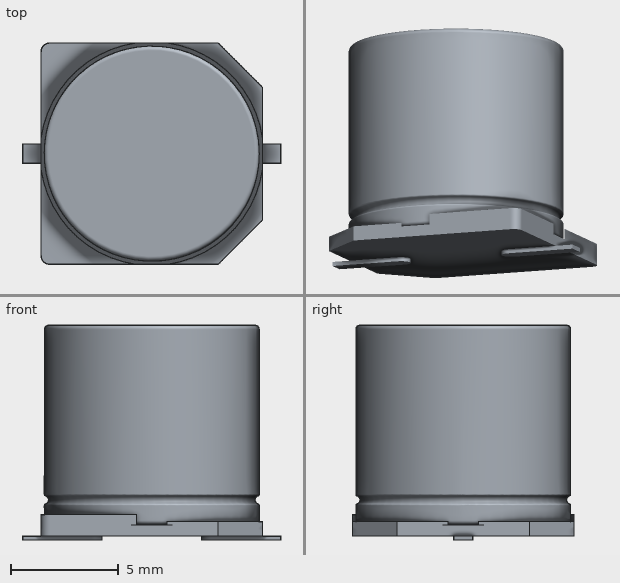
import cadquery as cq


lead_span = 12.0
base_width = 10.3
total_height = 10.0

lead_width = 0.9
lead_thickness = 0.19
lead_inner_end = 2.3

base_height = 1.0
low_half_height = 0.67
corner_radius = 0.41
corner_chamfer = 2.06
seat_radius = 5.2
seat_floor_height = 0.5

can_radius = 10.0 / 2
can_edge_radius = 0.2
groove_height = 1.68
groove_radius = 0.19
groove_lip_radius = 0.1

base_bottom = lead_thickness
can_bottom = base_bottom + seat_floor_height


def make_base():
    base = cq.Workplane("XY", origin=(0, 0, base_bottom)).rect(base_width, base_width).extrude(base_height)
    base = base.edges("|Z and <X").fillet(corner_radius)
    base = base.edges("|Z and >X").chamfer(corner_chamfer)
    step = (
        cq.Workplane("XY", origin=(0, 0, base_bottom + low_half_height))
        .rect(base_width, base_width)
        .extrude(base_height)
        .translate((base_width / 2, 0, 0))
    )
    seat = cq.Workplane("XY", origin=(0, 0, can_bottom)).circle(seat_radius).extrude(base_height)
    return base.cut(step).cut(seat)


def make_can():
    can = cq.Workplane("XY", origin=(0, 0, can_bottom)).circle(can_radius).extrude(total_height - can_bottom)
    can = can.faces("<Z or >Z").edges().fillet(can_edge_radius)
    groove_z = base_bottom + groove_height
    groove = cq.Workplane("XZ").center(can_radius, groove_z).circle(groove_radius)
    groove = groove.revolve(360, (-can_radius, 0), (-can_radius, 1))
    can = can.cut(groove)
    lip_zone = cq.selectors.BoxSelector(
        (-can_radius, -can_radius, groove_z - 2 * groove_radius),
        (can_radius, can_radius, groove_z + 2 * groove_radius),
    )
    return can.edges(lip_zone).edges("%CIRCLE").fillet(groove_lip_radius)


def make_lead(side):
    """Flat lead with a half-round inner end; side is +1 for +X and -1 for -X."""
    end_radius = lead_width / 2
    outer_x = side * lead_span / 2
    round_start_x = side * (lead_inner_end + end_radius)
    return (
        cq.Workplane("XY")
        .moveTo(outer_x, -end_radius)
        .lineTo(round_start_x, -end_radius)
        .threePointArc((side * lead_inner_end, 0), (round_start_x, end_radius))
        .lineTo(outer_x, end_radius)
        .close()
        .extrude(lead_thickness)
    )


result = make_base().union(make_can())
for lead_side in (-1, 1):
    result = result.union(make_lead(lead_side))